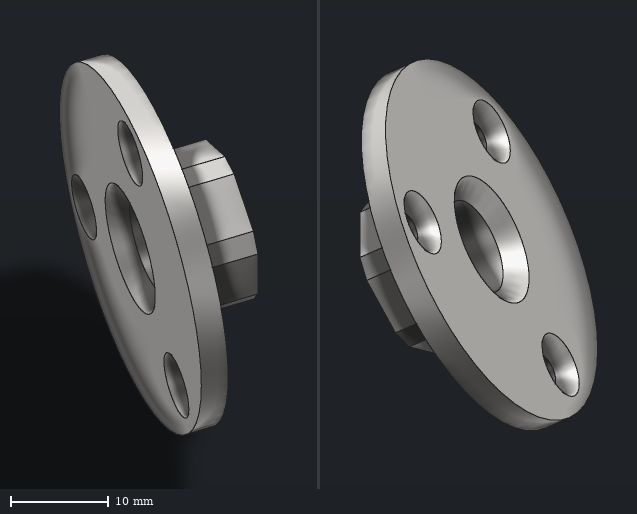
import cadquery as cq
import math

flange_diameter = 40
flange_thickness = 3.0

hub_length = 8
hub_across_flats = 16
hub_across_cut_corners = 17.0

bore_diameter = 10.2
bore_sink_diameter = 14.1

screw_count = 3
screw_circle_radius = 15.0
screw_sink_diameter = 7.0
screw_hole_diameter = screw_sink_diameter / 2

sink_angle = 90
total_length = flange_thickness + hub_length


def rod(diameter, length):
    """Cylinder along +Y, starting on the front face."""
    return cq.Workplane("XZ").circle(diameter / 2).extrude(-length)


def hex_prism(across_flats, length, turn):
    """Hexagonal prism along +Y, turned about Y by an angle in degrees."""
    across_corners = across_flats / math.cos(math.radians(30))
    prism = cq.Workplane("XZ").polygon(6, across_corners).extrude(-length)
    return prism.rotate((0, 0, 0), (0, 1, 0), turn)


def countersunk_hole(hole_diameter, sink_diameter, length):
    """Cutter with a conical mouth that opens on the front face."""
    hole_radius = hole_diameter / 2
    sink_radius = sink_diameter / 2
    sink_depth = (sink_radius - hole_radius) / math.tan(math.radians(sink_angle / 2))
    profile = [
        (0, 0),
        (sink_radius, 0),
        (hole_radius, sink_depth),
        (hole_radius, length),
        (0, length),
    ]
    return cq.Workplane("XY").polyline(profile).close().revolve(360, (0, 0), (0, 1))


flange = rod(flange_diameter, flange_thickness)
flats = hex_prism(hub_across_flats, total_length, 30)
corner_trim = hex_prism(hub_across_cut_corners, total_length, 0)
result = flange.union(flats.intersect(corner_trim))

result = result.cut(countersunk_hole(bore_diameter, bore_sink_diameter, total_length))

screw_hole = countersunk_hole(screw_hole_diameter, screw_sink_diameter, flange_thickness)
screw_hole = screw_hole.translate((0, 0, screw_circle_radius))
for index in range(screw_count):
    turn = index * 360 / screw_count
    result = result.cut(screw_hole.rotate((0, 0, 0), (0, 1, 0), turn))